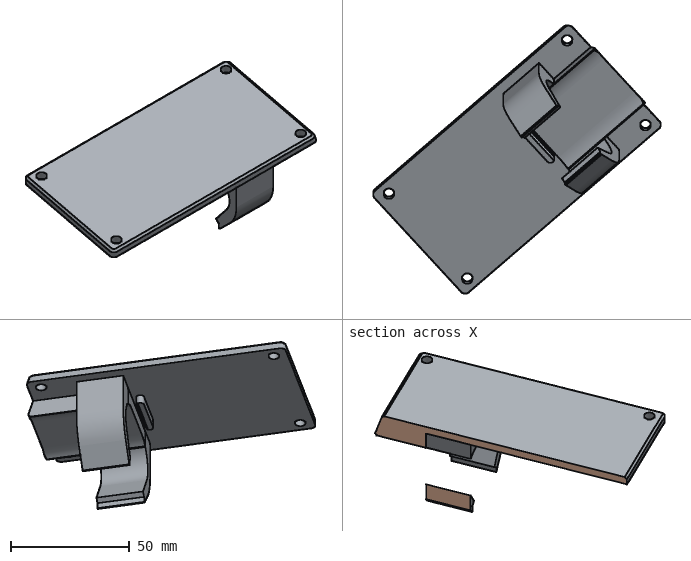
import cadquery as cq
import math


plate_width = 59.4
plate_thickness = 4.0
plate_length = 112.0
plate_corner_radius = 2.2
plate_top_chamfer = 1.0
overall_length = 114.07
overall_height = 42.25

hole_diameter = 4.5
hole_spacing_x = 49.6
hole_spacing_y = 100.6
hole_front_y = 5.8

clip_front_y = 70.8
clip_width = 20.2
clip_back_y = clip_front_y + clip_width
clip_half_outer = 25.35
clip_half_inner = 20.7
opening_top_z = -10.15
opening_radius = 11.0
inner_arm_angle = math.radians(33)
outer_arm_radius = 20.8
outer_arm_angle = math.radians(38.7)
tip_inner_z = -38.1
tip_notch_half_x = 13.6
tip_notch_z = -39.7

tail_half_width = 16.0
tail_tip_z = -10.7
tail_tip_chamfer = 0.7
tail_bottom_z = -11.9
back_slope = (overall_length - plate_length) / (-plate_thickness - tail_tip_z)

groove_width = 0.35

bar_length = 20.0
bar_width = 3.4
bar_back_y = 69.1
bar_bottom_z = -8.0
bar_chamfer = 1.0

overlap = 1.0


def back_y(z):
    """Y of the slanted back plane at height z."""
    return plate_length + back_slope * (-plate_thickness - z)


def extrude_along_x(points, width):
    """Prism with a (Y, Z) profile, centred on X = 0."""
    return cq.Workplane("YZ").polyline(points).close().extrude(width / 2, both=True)


def box_between(x_range, y_range, z_range):
    """Box spanning the given ranges."""
    sizes = [high - low for low, high in (x_range, y_range, z_range)]
    corner = (x_range[0], y_range[0], z_range[0])
    return cq.Workplane("XY").box(*sizes, centered=False).translate(corner)


def make_plate():
    """Plate with a slanted back end, rounded corners, chamfered top and four holes."""
    profile = [
        (0, 0),
        (back_y(0), 0),
        (plate_length, -plate_thickness),
        (0, -plate_thickness),
    ]
    plate = extrude_along_x(profile, plate_width)
    plate = plate.edges("not(|X or |Y)").fillet(plate_corner_radius)
    plate = plate.faces(">Z").chamfer(plate_top_chamfer)
    hole_centers = [
        (side * hole_spacing_x / 2, hole_front_y + row * hole_spacing_y)
        for side in (-1, 1)
        for row in (0, 1)
    ]
    holes = (
        cq.Workplane("XY")
        .pushPoints(hole_centers)
        .circle(hole_diameter / 2)
        .extrude(-plate_thickness)
    )
    return plate.cut(holes)


def arc_point(center, radius, angle):
    """Point on a circle in XZ, the angle measured from +X."""
    return (center[0] + radius * math.cos(angle), center[1] + radius * math.sin(angle))


arc_center_z = opening_top_z - opening_radius
opening_center = (clip_half_inner - opening_radius, arc_center_z)
outer_center = (clip_half_outer - outer_arm_radius, arc_center_z)


def make_half_clip():
    """Right half of the clip: half of the bridge and one arm."""
    plate_bottom = -plate_thickness + overlap
    outer_end = arc_point(outer_center, outer_arm_radius, -outer_arm_angle)
    inner_end = arc_point(opening_center, opening_radius, -inner_arm_angle)
    tip_outer_x = outer_end[0] - (outer_end[1] + overall_height) * math.tan(outer_arm_angle)
    tip_inner_x = inner_end[0] - (inner_end[1] - tip_inner_z) * math.tan(inner_arm_angle)
    return (
        cq.Workplane("XZ", origin=(0, clip_back_y, 0))
        .moveTo(0, plate_bottom)
        .lineTo(clip_half_outer, plate_bottom)
        .lineTo(clip_half_outer, arc_center_z)
        .threePointArc(arc_point(outer_center, outer_arm_radius, -outer_arm_angle / 2), outer_end)
        .lineTo(tip_outer_x, -overall_height)
        .lineTo(tip_notch_half_x, -overall_height)
        .lineTo(tip_notch_half_x, tip_notch_z)
        .lineTo(tip_inner_x, tip_inner_z)
        .lineTo(*inner_end)
        .threePointArc(
            arc_point(opening_center, opening_radius, (math.pi / 2 - inner_arm_angle) / 2),
            (opening_center[0], opening_top_z),
        )
        .lineTo(0, opening_top_z)
        .close()
        .extrude(clip_width)
    )


def make_clip():
    """Both halves of the clip, with the two narrow grooves."""
    half = make_half_clip()
    clip = half.union(half.mirror("YZ"))
    for inner_x in (-tail_half_width, tail_half_width - groove_width):
        groove = box_between(
            (inner_x, inner_x + groove_width),
            (clip_front_y, clip_back_y),
            (arc_center_z, -plate_thickness),
        )
        clip = clip.cut(groove)
    return clip


def make_tail():
    """Block from the clip to the slanted back plane, hollowed below by the clip opening."""
    profile = [
        (clip_back_y, -plate_thickness),
        (plate_length, -plate_thickness),
        (overall_length, tail_tip_z),
        (overall_length - tail_tip_chamfer, tail_bottom_z),
        (clip_back_y, tail_bottom_z),
    ]
    tail = extrude_along_x(profile, 2 * tail_half_width)
    opening = (
        cq.Workplane("XZ", origin=(0, clip_back_y, 0))
        .center(0, arc_center_z)
        .slot2D(2 * clip_half_inner, 2 * opening_radius)
        .extrude(clip_back_y - overall_length)
    )
    return tail.cut(opening)


def make_stop_bar():
    """Round-ended bar under the plate, chamfered along its lower back edge."""
    bar_top_z = -plate_thickness + overlap
    bar = (
        cq.Workplane("XY", origin=(0, bar_back_y - bar_width / 2, bar_bottom_z))
        .slot2D(bar_length, bar_width)
        .extrude(bar_top_z - bar_bottom_z)
    )
    corner = [
        (bar_back_y - bar_chamfer, bar_bottom_z),
        (bar_back_y, bar_bottom_z),
        (bar_back_y, bar_bottom_z + bar_chamfer),
    ]
    return bar.cut(extrude_along_x(corner, bar_length))


result = make_plate().union(make_clip()).union(make_tail()).union(make_stop_bar())